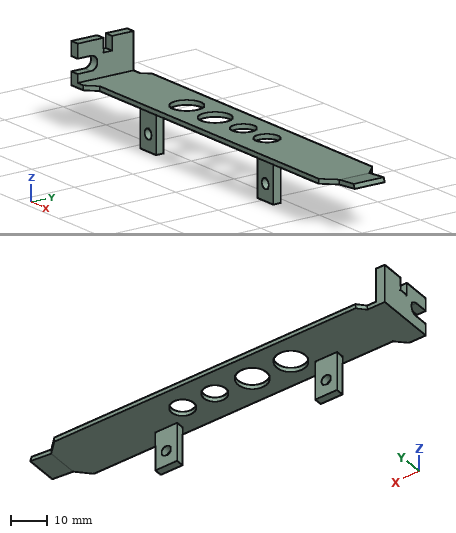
import cadquery as cq

total_length = 122.8
total_width = 21.6

plate_thickness = 1.5
body_width = 18.4
body_front = total_width - body_width
body_end = 111.7
front_shoulder_start = 5.8
front_shoulder_end = 9.0
back_shoulder_start = 6.0
back_shoulder_end = 8.2

tongue_start = 115.6
tongue_front = 7.4
tongue_width = 10.3
tongue_back = tongue_front + tongue_width
tongue_underside_rise = 0.6
tongue_top_rise = 0.5
tongue_tip_slant = 0.5

wall_thickness = 3.1
wall_width = 19.2
wall_height = 12.9
notch_front = 8.8
notch_width = 3.0
notch_depth = 4.3
slot_width = 4.4
slot_length = 6.8
slot_center_z = 6.3

large_opening = 9.7
small_opening = 7.5
large_opening_y = 12.5
small_opening_y = 13.1
openings = [
    (37.1, large_opening_y, large_opening),
    (50.4, large_opening_y, large_opening),
    (62.8, small_opening_y, small_opening),
    (73.8, small_opening_y, small_opening),
]

leg_centers_x = (28.0, 82.9)
leg_width = 7.5
leg_thickness = 2.6
leg_front = 5.9
leg_length = 13.1
leg_hole_diameter = 3.2
leg_hole_above_end = 5.2


def block(x, y, z, length, width, height):
    """Box placed by its lowest corner."""
    return cq.Workplane("XY").box(length, width, height, centered=False).translate((x, y, z))


def make_plate():
    """Flat plate that narrows to the tongue, with its row of round openings."""
    outline = [
        (0, 0),
        (front_shoulder_start, 0),
        (front_shoulder_end, body_front),
        (body_end, body_front),
        (tongue_start, tongue_front),
        (tongue_start, tongue_back),
        (body_end, total_width),
        (back_shoulder_end, total_width),
        (back_shoulder_start, wall_width),
        (0, wall_width),
    ]
    plate = cq.Workplane("XY").polyline(outline).close().extrude(plate_thickness)
    for x, y, diameter in openings:
        plate = plate.cut(cq.Workplane("XY").center(x, y).circle(diameter / 2).extrude(plate_thickness))
    return plate


def make_tongue():
    """Tongue with a rising side profile and a slanted tip."""
    profile = [
        (tongue_start, 0),
        (total_length, tongue_underside_rise),
        (total_length - tongue_tip_slant, plate_thickness + tongue_top_rise),
        (tongue_start, plate_thickness),
    ]
    tongue = cq.Workplane("XZ").polyline(profile).close().extrude(-tongue_width)
    return tongue.translate((0, tongue_front, 0))


def make_wall():
    """Upright wall with a square notch in its top and a round-ended slot in its front edge."""
    wall = block(0, 0, 0, wall_thickness, wall_width, wall_height)
    notch = block(0, notch_front, wall_height - notch_depth, wall_thickness, notch_width, notch_depth)
    slot_radius = slot_width / 2
    slot_round_y = slot_length - slot_radius
    slot = block(0, 0, slot_center_z - slot_radius, wall_thickness, slot_round_y, slot_width)
    slot_end = (
        cq.Workplane("YZ")
        .center(slot_round_y, slot_center_z)
        .circle(slot_radius)
        .extrude(wall_thickness)
    )
    return wall.cut(notch).cut(slot).cut(slot_end)


def make_leg(center_x):
    """Leg below the plate with a cross hole."""
    leg = block(center_x - leg_width / 2, leg_front, -leg_length, leg_width, leg_thickness, leg_length)
    hole = (
        cq.Workplane("XZ")
        .center(center_x, leg_hole_above_end - leg_length)
        .circle(leg_hole_diameter / 2)
        .extrude(-leg_thickness)
        .translate((0, leg_front, 0))
    )
    return leg.cut(hole)


result = make_plate().union(make_tongue()).union(make_wall())
for leg_center_x in leg_centers_x:
    result = result.union(make_leg(leg_center_x))